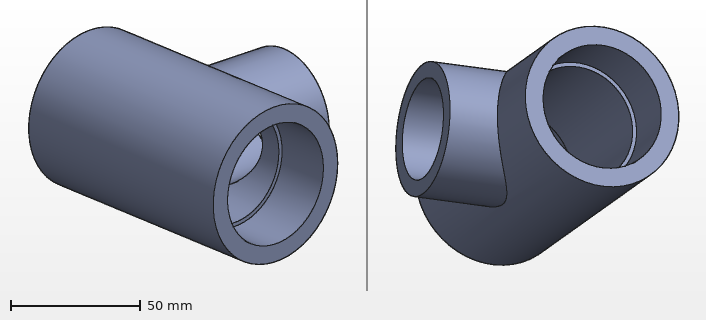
import cadquery as cq

run_length = 107.0
run_diameter = 65.0
socket_diameter = 50.0
bore_diameter = 46.7
socket_depth = 24.0

branch_diameter = 52.9
overall_width = 85.0
branch_reach = overall_width - run_diameter / 2
branch_bore_diameter = 40.0


def run_cylinder(diameter, start, length):
    """Cylinder along X that begins at x = start."""
    return cq.Workplane("YZ").workplane(offset=start).circle(diameter / 2).extrude(length)


def branch_cylinder(diameter):
    """Cylinder from the run axis to the open end of the branch."""
    return cq.Workplane("XZ").circle(diameter / 2).extrude(-branch_reach)


run_start = -run_length / 2

body = run_cylinder(run_diameter, run_start, run_length).union(branch_cylinder(branch_diameter))

body = body.cut(run_cylinder(bore_diameter, run_start, run_length))
body = body.cut(branch_cylinder(branch_bore_diameter))

for socket_start in (run_start, -run_start - socket_depth):
    body = body.cut(run_cylinder(socket_diameter, socket_start, socket_depth))

result = body